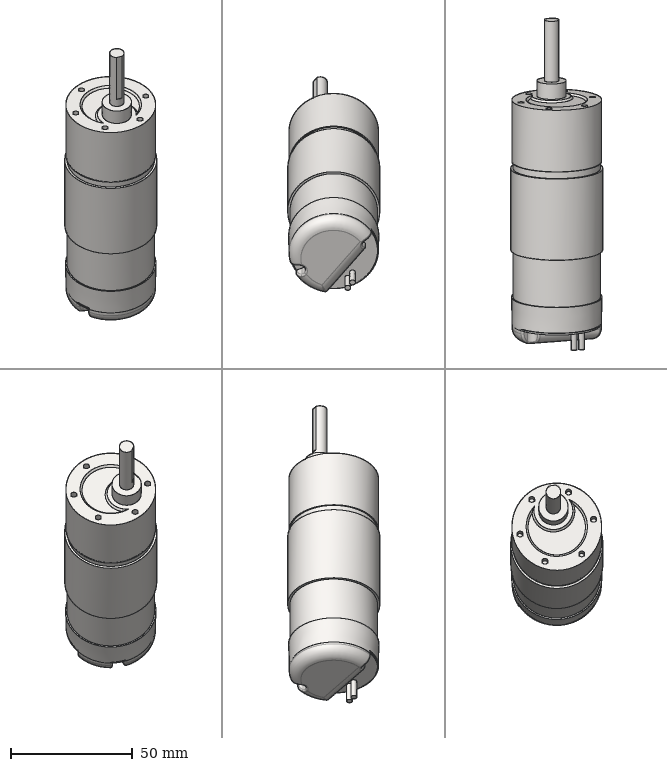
import cadquery as cq
import math

shaft_top = 135.5
flat_bottom = 113.6
boss_top = 109.8
gearbox_top = 103.3
gearbox_bottom = 77.1
sleeve_top = 74.3
sleeve_bottom = 39.8
cap_top = 19.8
cap_step_height = 8.8
motor_bottom = 8.0
cap_bottom = 2.0

motor_diameter = 36.0
gearbox_diameter = 37.0
sleeve_diameter = 38.0

shaft_offset = 6.9
shaft_diameter = 6.0
shaft_flat_distance = 2.7
boss_diameter = 12.0

recess_radius = 12.6
collar_radius = 8.0
recess_depth = 0.8
recess_slope = 0.8

hole_count = 6
hole_diameter = 2.5
hole_circle_radius = 15.5
hole_depth = 4.0

wire_diameter = 2.5
wire_x = -12.3
wire_ys = (-3.5, -6.8)

cap_diameter = 37.3
cap_draft = 1.0
cap_edge_radius = 4.9
step_x = -8.7
notch_width = 4.9
notch_center_radius = 15.3
notch_angle = -60.0
notch_angles = (notch_angle, notch_angle + 180)
corner_radius = 0.8


def cylinder(diameter, bottom, top, x=0.0, y=0.0):
    return cq.Workplane("XY", origin=(x, y, bottom)).circle(diameter / 2).extrude(top - bottom)


def make_crescent_recess():
    """Shallow round pocket with sloping walls, interrupted by the collar around the boss."""
    floor = gearbox_top - recess_depth
    pocket = cq.Solid.makeCone(
        recess_radius - recess_slope, recess_radius, recess_depth, pnt=cq.Vector(0, 0, floor)
    )
    collar = cq.Solid.makeCone(
        collar_radius + recess_slope, collar_radius, recess_depth, pnt=cq.Vector(shaft_offset, 0, floor)
    )
    return pocket.cut(collar)


def make_shaft():
    """Output shaft with a flat on its +X side."""
    shaft = cylinder(shaft_diameter, boss_top, shaft_top, shaft_offset)
    flat_cut = (
        cq.Workplane("XY", origin=(shaft_offset + shaft_flat_distance, 0, flat_bottom))
        .rect(shaft_diameter, shaft_diameter)
        .extrude(shaft_top - flat_bottom)
        .translate((shaft_diameter / 2, 0, 0))
    )
    return shaft.cut(flat_cut)


def make_motor_core():
    """Plain motor cylinder that runs up to the gearbox."""
    return cylinder(motor_diameter, motor_bottom, gearbox_bottom)


def make_gearmotor():
    body = make_motor_core()
    body = body.union(cylinder(sleeve_diameter, sleeve_bottom, sleeve_top))
    body = body.union(cylinder(gearbox_diameter, gearbox_bottom, gearbox_top))
    body = body.cut(cq.Workplane(make_crescent_recess()))
    for i in range(hole_count):
        angle = math.radians(90 + i * 360 / hole_count)
        x = hole_circle_radius * math.cos(angle)
        y = hole_circle_radius * math.sin(angle)
        body = body.cut(cylinder(hole_diameter, gearbox_top - hole_depth, gearbox_top, x, y))
    body = body.union(cylinder(boss_diameter, gearbox_top, boss_top, shaft_offset))
    body = body.union(make_shaft())
    for y in wire_ys:
        body = body.union(cylinder(wire_diameter, 0, motor_bottom, wire_x, y))
    return body


def make_notch(angle):
    """Round-ended slot that opens outward through the rim of the cap."""
    return (
        cq.Workplane("XY", origin=(0, 0, cap_bottom))
        .center(notch_center_radius + cap_diameter / 2, 0)
        .slot2D(cap_diameter + notch_width, notch_width)
        .extrude(cap_step_height - cap_bottom)
        .rotate((0, 0, 0), (0, 0, 1), angle)
    )


def make_cap():
    """Drafted cup over the motor end, with a stepped-back floor that leaves room for the wires."""
    height = cap_top - cap_bottom
    top_radius = cap_diameter / 2
    bottom_radius = top_radius - height * math.tan(math.radians(cap_draft))
    shell = cq.Workplane(
        cq.Solid.makeCone(bottom_radius, top_radius, height, pnt=cq.Vector(0, 0, cap_bottom))
    )
    ring = shell.intersect(cylinder(2 * cap_diameter, cap_step_height, cap_top))
    floor_zone = (
        cq.Workplane("XY", origin=(step_x + cap_diameter, 0, cap_bottom))
        .rect(2 * cap_diameter, 2 * cap_diameter)
        .extrude(cap_step_height - cap_bottom)
    )
    floor = shell.intersect(floor_zone).faces("<Z").edges().fillet(cap_edge_radius)
    for angle in notch_angles:
        floor = floor.cut(make_notch(angle))
    rounded_top = cap_bottom + cap_edge_radius
    corners = floor.edges().filter(lambda edge: rounded_top < edge.positionAt(0.5).z < cap_step_height)
    floor = corners.fillet(corner_radius)
    return ring.union(floor).cut(make_motor_core())


gearmotor = make_gearmotor()
cap = make_cap()

result = cq.Compound.makeCompound([gearmotor.val(), cap.val()])